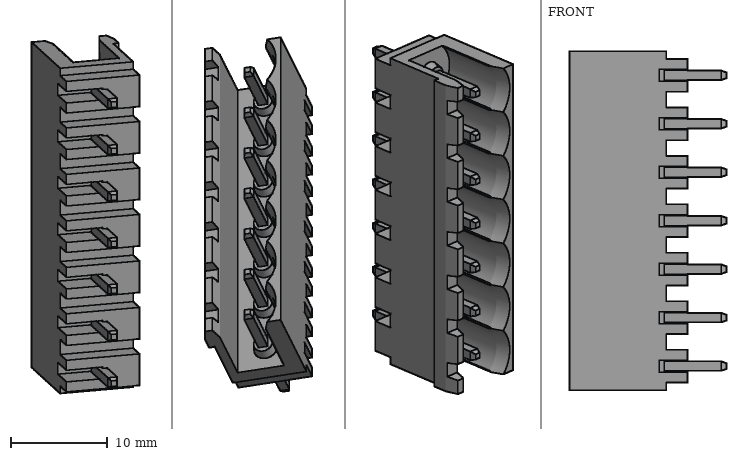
import cadquery as cq


PIN_COUNT = 7
PITCH = 5.0
LENGTH = PIN_COUNT * PITCH
PIN_Z = [(i - (PIN_COUNT - 1) / 2) * PITCH for i in range(PIN_COUNT)]

BODY_WIDTH = 7.9
BODY_END_X = 10.0
CAVITY_FLOOR_X = 8.3
CAVITY_LOW_Y = 1.95
CAVITY_HIGH_Y = 6.9
LEAD_IN_DEPTH = 1.5

LATCH_TOP_Y = 8.5
LATCH_END_X = 3.05
LATCH_RAMP_X = 1.4
LATCH_TIP_LOW_Y = 7.3
LATCH_TIP_HIGH_Y = 8.1
NOTCH_DEPTH = 1.2
NOTCH_MOUTH_WIDTH = 1.86
NOTCH_FLOOR_WIDTH = 1.56

SCALLOP_Y = 4.3
SCALLOP_RADIUS = 3.35
SCALLOP_MOUTH_RADIUS = 3.8

FOOT_END_X = 12.2
FOOT_WIDTH = 3.4
SLOT_START_X = 9.25
SLOT_WIDTH = 1.25

PIN_Y = 3.9
PIN_SIZE = 1.0
PIN_TIP_SIZE = 0.6
PIN_TIP_LENGTH = 0.55
PIN_START_X = 1.3
TAIL_START_X = 9.8
TAIL_END_X = 16.2

COLLAR_HEIGHT = 1.0
COLLAR_BASE_RADIUS = 1.25
COLLAR_TIP_RADIUS = 1.0


def box(x_start, x_end, y_start, y_end, z_center, z_size):
    """Axis-aligned block."""
    return (
        cq.Workplane("XY")
        .box(x_end - x_start, y_end - y_start, z_size, centered=(False, False, True))
        .translate((x_start, y_start, z_center))
    )


def cone(x_start, height, start_radius, end_radius, y, z):
    """Truncated cone along +X."""
    return cq.Workplane(
        cq.Solid.makeCone(
            start_radius, end_radius, height, cq.Vector(x_start, y, z), cq.Vector(1, 0, 0)
        )
    )


def make_shell():
    """U-shaped housing profile with the latch hook, along the whole row."""
    profile = [
        (0, 0),
        (BODY_END_X, 0),
        (BODY_END_X, BODY_WIDTH),
        (LATCH_END_X, BODY_WIDTH),
        (LATCH_END_X, LATCH_TOP_Y),
        (LATCH_RAMP_X, LATCH_TOP_Y),
        (0, LATCH_TIP_HIGH_Y),
        (0, LATCH_TIP_LOW_Y),
        (LEAD_IN_DEPTH, CAVITY_HIGH_Y),
        (CAVITY_FLOOR_X, CAVITY_HIGH_Y),
        (CAVITY_FLOOR_X, CAVITY_LOW_Y),
        (0, CAVITY_LOW_Y),
    ]
    return cq.Workplane("XY").polyline(profile).close().extrude(LENGTH / 2, both=True)


def make_scallop(z):
    """Cutter for one scallop: a cylinder to the cavity floor with a conical lead-in."""
    bore = (
        cq.Workplane("YZ")
        .center(SCALLOP_Y, z)
        .circle(SCALLOP_RADIUS)
        .extrude(CAVITY_FLOOR_X)
    )
    lead_in = cone(0, LEAD_IN_DEPTH, SCALLOP_MOUTH_RADIUS, SCALLOP_RADIUS, SCALLOP_Y, z)
    keep = box(0, CAVITY_FLOOR_X, 0, SCALLOP_Y, z, 2 * PITCH)
    return bore.union(lead_in).intersect(keep)


def make_notch(z):
    """Cutter for one tapered notch in the latch tip."""
    profile = [
        (0, z - NOTCH_MOUTH_WIDTH / 2),
        (NOTCH_DEPTH, z - NOTCH_FLOOR_WIDTH / 2),
        (NOTCH_DEPTH, z + NOTCH_FLOOR_WIDTH / 2),
        (0, z + NOTCH_MOUTH_WIDTH / 2),
    ]
    return (
        cq.Workplane("XZ", origin=(0, LATCH_TOP_Y, 0))
        .polyline(profile)
        .close()
        .extrude(LATCH_TOP_Y - SCALLOP_Y)
    )


def make_tip(x_base, direction, z):
    """Tapered end of a pin, pointing along +X (direction 1) or -X (direction -1)."""
    return (
        cq.Workplane("YZ", origin=(x_base, PIN_Y, z))
        .rect(PIN_SIZE, PIN_SIZE)
        .workplane(offset=direction * PIN_TIP_LENGTH)
        .rect(PIN_TIP_SIZE, PIN_TIP_SIZE)
        .loft(ruled=True)
    )


def make_square_bar(x_start, x_end, z):
    """Straight length of pin."""
    half = PIN_SIZE / 2
    return box(x_start, x_end, PIN_Y - half, PIN_Y + half, z, PIN_SIZE)


def make_mating_pin(z):
    """Pin in the cavity with its collar, rooted in the cavity floor."""
    shaft_start_x = PIN_START_X + PIN_TIP_LENGTH
    collar_x = CAVITY_FLOOR_X - COLLAR_HEIGHT
    collar = cone(collar_x, COLLAR_HEIGHT, COLLAR_TIP_RADIUS, COLLAR_BASE_RADIUS, PIN_Y, z)
    return (
        make_square_bar(shaft_start_x, CAVITY_FLOOR_X, z)
        .union(make_tip(shaft_start_x, -1, z))
        .union(collar)
    )


def make_solder_tail(z):
    """Tail half sunk in the slot floor, standing out past the foot."""
    shaft_end_x = TAIL_END_X - PIN_TIP_LENGTH
    return make_square_bar(TAIL_START_X, shaft_end_x, z).union(make_tip(shaft_end_x, 1, z))


def make_foot(z):
    """Standoff foot across the full body width."""
    return box(BODY_END_X, FOOT_END_X, 0, BODY_WIDTH, z, FOOT_WIDTH)


def make_slot(z):
    """Cutter for the slot that runs in from -Y as far as the pin axis."""
    return box(SLOT_START_X, FOOT_END_X, 0, PIN_Y, z, SLOT_WIDTH)


def make_housing():
    """Housing with its feet, tail slots, latch notches and scallops."""
    housing = make_shell()
    for z in PIN_Z:
        housing = housing.union(make_foot(z))
        for cutter in (make_slot(z), make_notch(z), make_scallop(z)):
            housing = housing.cut(cutter)
    return housing


result = make_housing()
for pin_z in PIN_Z:
    result = result.union(make_mating_pin(pin_z)).union(make_solder_tail(pin_z))